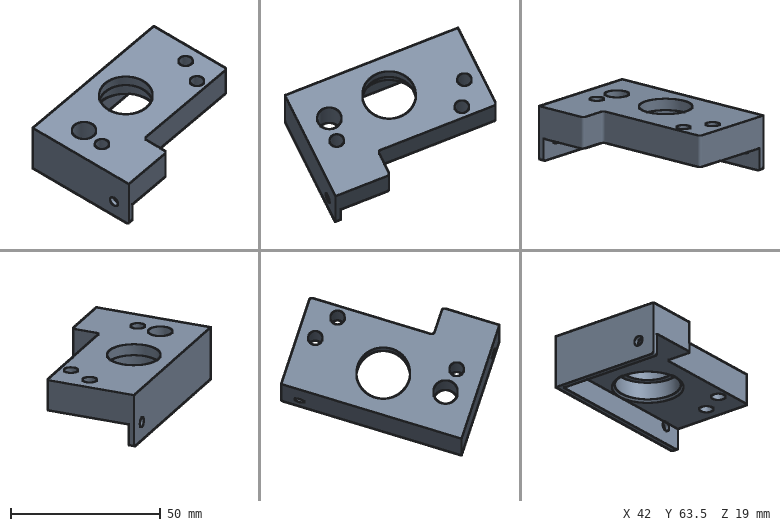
import cadquery as cq

width = 42.0
length = 63.5
height = 19.0

arm_width = 32.0
foot_length = 20.0
plate_underside = 7.95
wall_thickness = 2.0
corner_radius = 1.0

bore_center = (14.05, 32.0)
bore_diameter = 18.0
bore_step_depth = 4.0
lower_bore_diameter = 22.2
lower_bore_chamfer = 0.9

large_hole_center = (bore_center[0], 10.1)
large_hole_diameter = 8.2
small_hole_centers = [(18.9, 57.45), (28.0, 52.5), (22.8, 8.95)]
small_hole_diameter = 4.8

wall_hole_diameter = 3.4
wall_hole_height = 6.6
wall_hole_end_distance = 6.5


def l_block():
    """Full-height L-shaped block with rounded free corners."""
    block = (
        cq.Workplane("XY")
        .polyline([
            (0, 0),
            (width, 0),
            (width, foot_length),
            (arm_width, foot_length),
            (arm_width, length),
            (0, length),
        ])
        .close()
        .extrude(height)
    )
    free_corners = [(width, foot_length), (arm_width, foot_length), (arm_width, length)]
    for x, y in free_corners:
        edge = cq.selectors.NearestToPointSelector((x, y, height / 2))
        block = block.edges("|Z").edges(edge).fillet(corner_radius)
    return block


def vertical_cylinder(center, diameter, bottom, top):
    return (
        cq.Workplane("XY", origin=(center[0], center[1], bottom))
        .circle(diameter / 2)
        .extrude(top - bottom)
    )


def hollow_below_plate(block):
    """Clear the space under the plate, leaving the -X and -Y walls."""
    hollow = cq.Workplane("XY").box(width, length, plate_underside, centered=False)
    return block.cut(hollow.translate((wall_thickness, wall_thickness, 0)))


def round_wall_ends(body):
    """Round the lower corner at the free end of each wall."""
    foot_corner = cq.selectors.NearestToPointSelector((width, wall_thickness / 2, 0))
    arm_corner = cq.selectors.NearestToPointSelector((wall_thickness / 2, length, 0))
    body = body.edges("|Y").edges(foot_corner).fillet(corner_radius)
    return body.edges("|X").edges(arm_corner).fillet(corner_radius)


def cut_vertical_holes(body):
    step_height = height - bore_step_depth
    body = body.cut(vertical_cylinder(bore_center, bore_diameter, plate_underside, height))
    body = body.cut(vertical_cylinder(bore_center, lower_bore_diameter, plate_underside, step_height))
    chamfer_cone = (
        cq.Workplane("XY", origin=(*bore_center, plate_underside))
        .circle(lower_bore_diameter / 2 + lower_bore_chamfer)
        .extrude(lower_bore_chamfer, taper=45)
    )
    body = body.cut(chamfer_cone)
    body = body.cut(vertical_cylinder(large_hole_center, large_hole_diameter, plate_underside, height))
    for center in small_hole_centers:
        body = body.cut(vertical_cylinder(center, small_hole_diameter, plate_underside, height))
    return body


def cut_wall_holes(body):
    """Drill each wall only; the top of each hole lies above the plate underside."""
    foot_hole = (
        cq.Workplane("XZ", origin=(width - wall_hole_end_distance, 0, wall_hole_height))
        .circle(wall_hole_diameter / 2)
        .extrude(-wall_thickness)
    )
    arm_hole = (
        cq.Workplane("YZ", origin=(0, length - wall_hole_end_distance, wall_hole_height))
        .circle(wall_hole_diameter / 2)
        .extrude(wall_thickness)
    )
    return body.cut(foot_hole).cut(arm_hole)


result = hollow_below_plate(l_block())
result = round_wall_ends(result)
result = cut_vertical_holes(result)
result = cut_wall_holes(result)